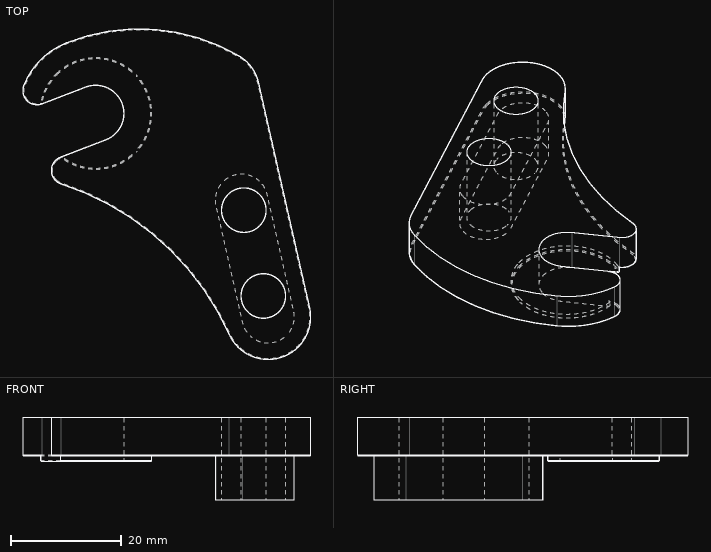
import cadquery as cq
import math

PLATE_THICKNESS = 7.0
RIM_DEPTH = 8.0
BOSS_DEPTH = 14.95
EDGE_CHAMFER = 0.2

SLOT_RADIUS = 5.1
SLOT_ANGLE = math.radians(21)
SLOT_CUT_LENGTH = 35.9
RIM_RADIUS = 10.1

TIP_RADIUS = 2.6
UPPER_TIP_REACH = 8.45
LOWER_TIP_REACH = 8.8

BACK_RADIUS = 35.7
BACK_CENTRE = (7.9, -20.35)
SHOULDER_RADIUS = 13.65
CORNER_RADIUS = 7.5
BELLY_RADIUS = 50.3

END_CENTRE = (31.2, -36.8)
END_RADIUS = 7.7
AXIS_TILT = math.radians(12.8)
BOSS_RADIUS = 4.75
BOSS_CENTRE_DISTANCE = 21.7
HOLE_RADIUS = 4.0
FIRST_HOLE_DISTANCE = 3.9
HOLE_SPACING = 15.9


def along(start, direction, distance):
    """Point at a distance from start along a unit direction."""
    return (start[0] + distance * direction[0], start[1] + distance * direction[1])


def toward(start, target, distance):
    """Point at a distance from start on the ray through target."""
    span = math.dist(start, target)
    direction = ((target[0] - start[0]) / span, (target[1] - start[1]) / span)
    return along(start, direction, distance)


def left_meeting_point(first, first_radius, second, second_radius):
    """Intersection of two circles lying left of the ray from first to second."""
    span = math.dist(first, second)
    offset = (span**2 + first_radius**2 - second_radius**2) / (2 * span)
    rise = math.sqrt(first_radius**2 - offset**2)
    foot = toward(first, second, offset)
    normal = ((first[1] - second[1]) / span, (second[0] - first[0]) / span)
    return along(foot, normal, rise)


def arc_middle(centre, start, end):
    """Middle of the minor arc from start to end."""
    chord_middle = ((start[0] + end[0]) / 2, (start[1] + end[1]) / 2)
    return toward(centre, chord_middle, math.dist(centre, start))


slot_direction = (math.cos(SLOT_ANGLE), math.sin(SLOT_ANGLE))
slot_normal = (-slot_direction[1], slot_direction[0])
axis_direction = (-math.sin(AXIS_TILT), math.cos(AXIS_TILT))
axis_normal = (math.cos(AXIS_TILT), math.sin(AXIS_TILT))


def plate_outline():
    upper_edge = along((0, 0), slot_normal, SLOT_RADIUS)
    lower_edge = along((0, 0), slot_normal, -SLOT_RADIUS)
    upper_mouth = along(upper_edge, slot_direction, -UPPER_TIP_REACH)
    lower_mouth = along(lower_edge, slot_direction, -LOWER_TIP_REACH)
    upper_tip = along(upper_mouth, slot_normal, TIP_RADIUS)
    lower_tip = along(lower_mouth, slot_normal, -TIP_RADIUS)

    shoulder = left_meeting_point(
        upper_tip, SHOULDER_RADIUS - TIP_RADIUS, BACK_CENTRE, BACK_RADIUS - SHOULDER_RADIUS
    )
    shoulder_start = toward(shoulder, upper_tip, SHOULDER_RADIUS)
    shoulder_end = toward(BACK_CENTRE, shoulder, BACK_RADIUS)

    side_start = along(END_CENTRE, axis_normal, END_RADIUS - CORNER_RADIUS)
    gap = (side_start[0] - BACK_CENTRE[0], side_start[1] - BACK_CENTRE[1])
    across = gap[0] * axis_normal[0] + gap[1] * axis_normal[1]
    lengthwise = gap[0] * axis_direction[0] + gap[1] * axis_direction[1]
    side_reach = math.sqrt((BACK_RADIUS - CORNER_RADIUS) ** 2 - across**2) - lengthwise
    corner = along(side_start, axis_direction, side_reach)
    corner_start = toward(BACK_CENTRE, corner, BACK_RADIUS)
    corner_end = along(corner, axis_normal, CORNER_RADIUS)

    end_start = along(END_CENTRE, axis_normal, END_RADIUS)
    belly = left_meeting_point(
        END_CENTRE, BELLY_RADIUS + END_RADIUS, lower_tip, BELLY_RADIUS + TIP_RADIUS
    )
    belly_start = toward(END_CENTRE, belly, END_RADIUS)
    belly_end = toward(lower_tip, belly, TIP_RADIUS)
    end_middle = along(END_CENTRE, axis_direction, -END_RADIUS)

    slot_bottom = along((0, 0), slot_direction, SLOT_RADIUS)
    upper_tip_middle = along(upper_tip, slot_direction, -TIP_RADIUS)
    return (
        cq.Workplane("XY")
        .moveTo(*upper_mouth)
        .threePointArc(upper_tip_middle, shoulder_start)
        .threePointArc(arc_middle(shoulder, shoulder_start, shoulder_end), shoulder_end)
        .threePointArc(arc_middle(BACK_CENTRE, shoulder_end, corner_start), corner_start)
        .threePointArc(arc_middle(corner, corner_start, corner_end), corner_end)
        .lineTo(*end_start)
        .threePointArc(end_middle, belly_start)
        .threePointArc(arc_middle(belly, belly_start, belly_end), belly_end)
        .threePointArc(along(lower_tip, slot_direction, -TIP_RADIUS), lower_mouth)
        .lineTo(*lower_edge)
        .threePointArc(slot_bottom, upper_edge)
        .close()
    )


def slot_cutter():
    length = SLOT_CUT_LENGTH
    straight = cq.Workplane("XY").box(length, 2 * SLOT_RADIUS, RIM_DEPTH, centered=(False, True, False))
    straight = straight.translate((-length, 0, -RIM_DEPTH))
    straight = straight.rotate((0, 0, 0), (0, 0, 1), math.degrees(SLOT_ANGLE))
    return straight.union(cq.Workplane("XY").circle(SLOT_RADIUS).extrude(-RIM_DEPTH))


def plate():
    return plate_outline().extrude(-PLATE_THICKNESS).faces("<Z").chamfer(EDGE_CHAMFER)


def rim():
    """Low round pad opened by the slot, reaching up to fill the plate chamfer along the slot."""
    pad_top = EDGE_CHAMFER - PLATE_THICKNESS
    pad = cq.Workplane("XY").workplane(offset=pad_top).circle(RIM_RADIUS).extrude(-RIM_DEPTH - pad_top)
    return pad.faces("<Z").chamfer(EDGE_CHAMFER).cut(slot_cutter())


def boss():
    middle = along(END_CENTRE, axis_direction, BOSS_CENTRE_DISTANCE / 2)
    length = BOSS_CENTRE_DISTANCE + 2 * BOSS_RADIUS
    slot_shape = cq.Workplane("XY").center(*middle).slot2D(
        length, 2 * BOSS_RADIUS, 90 + math.degrees(AXIS_TILT)
    )
    return slot_shape.extrude(-BOSS_DEPTH)


def holes():
    distances = (FIRST_HOLE_DISTANCE, FIRST_HOLE_DISTANCE + HOLE_SPACING)
    centres = [along(END_CENTRE, axis_direction, distance) for distance in distances]
    return cq.Workplane("XY").pushPoints(centres).circle(HOLE_RADIUS).extrude(-BOSS_DEPTH)


result = plate().union(rim()).union(boss()).cut(holes())